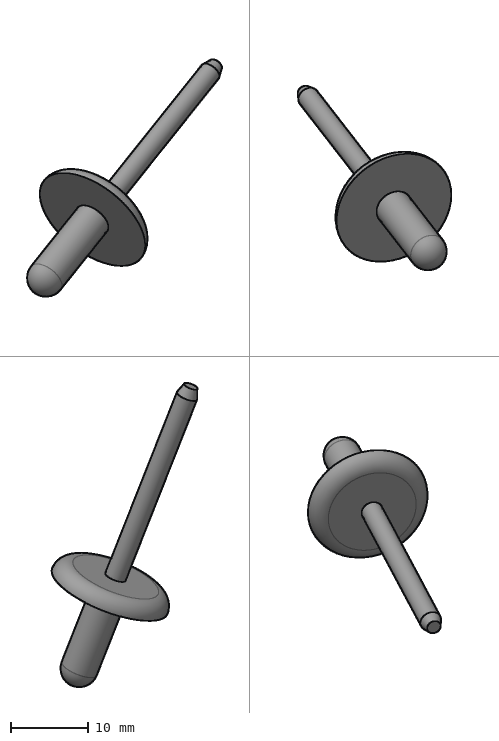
import cadquery as cq
import math

total_length = 44.25
flange_radius = 8.07
flange_thickness = 2.12
shank_radius = 2.455
shank_reach = 13.9
mandrel_radius = 1.4
tip_radius = 0.95
tip_length = 1.4

dome_start = -(shank_reach - shank_radius)
mandrel_end = total_length - shank_reach
flange_flat_radius = flange_radius - flange_thickness
diagonal = math.sqrt(0.5)

profile = (
    cq.Workplane("XY")
    .moveTo(0, -shank_reach)
    .threePointArc(
        (shank_radius * diagonal, dome_start - shank_radius * diagonal),
        (shank_radius, dome_start),
    )
    .lineTo(shank_radius, 0)
    .lineTo(flange_radius, 0)
    .threePointArc(
        (flange_flat_radius + flange_thickness * diagonal, flange_thickness * diagonal),
        (flange_flat_radius, flange_thickness),
    )
    .lineTo(mandrel_radius, flange_thickness)
    .lineTo(mandrel_radius, mandrel_end - tip_length)
    .lineTo(tip_radius, mandrel_end)
    .lineTo(0, mandrel_end)
    .close()
)

result = profile.revolve(360, (0, 0, 0), (0, 1, 0))